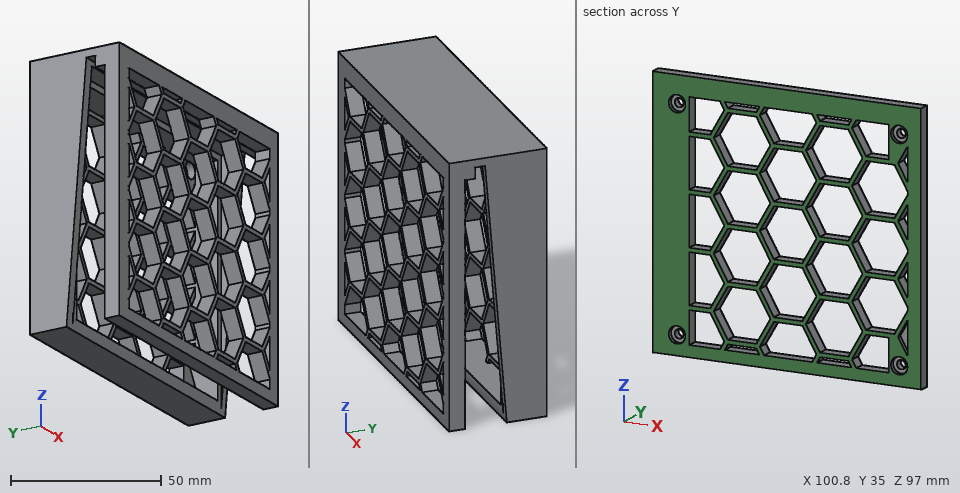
import cadquery as cq
import math

WIDTH = 100.8
DEPTH = 35.0
HEIGHT = 97.0
PANEL = 5.7
BACK_Y = DEPTH - PANEL

SLIT_TOP = HEIGHT - 2.9
LIP_BOTTOM = HEIGHT - 7.0
LIP_BACK = 9.4
SLOPE_TOP_Y = 12.9
SLOPE_BOTTOM_Y = 20.7

WINDOW_LEFT = 6.1
WINDOW_RIGHT = WIDTH - 5.2
WINDOW_BOTTOM = 4.4
WINDOW_TOP = HEIGHT - 7.3

SEAT_MARGIN = 2.4
SEAT_Y = 20.5

PITCH = 20.0
RIB = 1.7
COS_30 = math.cos(math.radians(30))
COLUMN_STEP = PITCH * COS_30
CELL_ACROSS_CORNERS = (PITCH - RIB) / COS_30
MIDDLE_X = (WINDOW_LEFT + WINDOW_RIGHT) / 2
MIDDLE_Z = (WINDOW_BOTTOM + WINDOW_TOP) / 2
EDGE_COLUMN = 3
ALL_COLUMNS = range(-EDGE_COLUMN, EDGE_COLUMN + 1)
FULL_COLUMNS = range(1 - EDGE_COLUMN, EDGE_COLUMN)
ALL_ROWS = range(-3, 4)
LOWEST_TRIANGLE = -2
THROUGH_TRIANGLES = range(LOWEST_TRIANGLE + 1, 2)

STRIP_WIDTH = 7.7
PAD_WIDTH = 7.1
PAD_RIB_OFFSET = 1.5 * PITCH
PAD_HEIGHT = (WINDOW_TOP - WINDOW_BOTTOM) / 2 - PAD_RIB_OFFSET
BLIND_DEPTH = 2.9

SCREW_DIAMETER = 3.2
BORE_DIAMETER = 6.0
SCREW_INSET_X = 3.0
SCREW_INSET_Z = 2.8


def block(x_range, y_range, z_range):
    """Box that spans the given ranges."""
    (x0, x1), (y0, y1), (z0, z1) = x_range, y_range, z_range
    return cq.Workplane("XY").box(x1 - x0, y1 - y0, z1 - z0, centered=False).translate((x0, y0, z0))


def window(y0, y1, margin=0):
    """Box over the window's area, widened by the margin on all four edges."""
    x_range = (WINDOW_LEFT - margin, WINDOW_RIGHT + margin)
    z_range = (WINDOW_BOTTOM - margin, WINDOW_TOP + margin)
    return block(x_range, (y0, y1), z_range)


def cell_centre(column, row):
    """Centre of a cell; odd columns sit half a pitch higher."""
    shift = PITCH / 2 if column % 2 else 0
    return MIDDLE_X + column * COLUMN_STEP, MIDDLE_Z + shift + row * PITCH


def along_y(points, y0):
    """Sketch plane at y0 whose extrusions by a negative length run towards +Y."""
    return cq.Workplane("XZ", origin=(0, y0, 0)).pushPoints(points)


def honeycomb(columns, rows, y0, y1):
    """Hexagonal openings of the given columns and rows, bounded by the window."""
    centres = [cell_centre(column, row) for column in columns for row in rows]
    openings = along_y(centres, y0).polygon(6, CELL_ACROSS_CORNERS).extrude(y0 - y1)
    return openings.intersect(window(y0, y1))


def screw_holes(diameter, y0, y1):
    centres = [
        (x, z)
        for x in (WINDOW_LEFT + SCREW_INSET_X, WINDOW_RIGHT - SCREW_INSET_X)
        for z in (WINDOW_BOTTOM + SCREW_INSET_Z, WINDOW_TOP - SCREW_INSET_Z)
    ]
    return along_y(centres, y0).circle(diameter / 2).extrude(y0 - y1)


def corner_squares(y0, y1):
    """Boxes that open the window's corners squarely, from each corner to the screw axis."""
    middle_x = (WINDOW_LEFT + SCREW_INSET_X, WINDOW_RIGHT - SCREW_INSET_X)
    middle_z = (WINDOW_BOTTOM + SCREW_INSET_Z, WINDOW_TOP - SCREW_INSET_Z)
    side_bars = window(y0, y1).cut(block(middle_x, (y0, y1), (0, HEIGHT)))
    return side_bars.cut(block((0, WIDTH), (y0, y1), middle_z))


def wedge_slit():
    outline = [
        (PANEL, 0),
        (PANEL, LIP_BOTTOM),
        (LIP_BACK, LIP_BOTTOM),
        (LIP_BACK, SLIT_TOP),
        (SLOPE_TOP_Y, SLIT_TOP),
        (SLOPE_BOTTOM_Y, 0),
    ]
    return cq.Workplane("YZ").polyline(outline).close().extrude(WIDTH)


def back_openings():
    """Openings of the back panel: honeycomb less the solid areas, plus the right-hand triangles."""
    thickness = (BACK_Y, DEPTH)
    strip = block((WINDOW_LEFT, WINDOW_LEFT + STRIP_WIDTH), thickness, (0, HEIGHT))
    pad_x = (WINDOW_RIGHT - PAD_WIDTH, WINDOW_RIGHT)
    bottom_pad = block(pad_x, thickness, (0, WINDOW_BOTTOM + PAD_HEIGHT))
    top_pad = block(pad_x, thickness, (WINDOW_TOP - PAD_HEIGHT, HEIGHT))

    openings = honeycomb(FULL_COLUMNS, ALL_ROWS, *thickness)
    openings = openings.cut(strip).cut(bottom_pad).cut(top_pad)
    openings = openings.union(honeycomb([EDGE_COLUMN], THROUGH_TRIANGLES, *thickness))
    return openings.union(honeycomb([EDGE_COLUMN], [LOWEST_TRIANGLE], BACK_Y, BACK_Y + BLIND_DEPTH))


result = block((0, WIDTH), (0, DEPTH), (0, HEIGHT)).cut(wedge_slit())
result = result.cut(window(SLOPE_TOP_Y, SEAT_Y, SEAT_MARGIN))
result = result.cut(window(PANEL, BACK_Y))

result = result.cut(honeycomb(ALL_COLUMNS, ALL_ROWS, 0, PANEL))
result = result.cut(back_openings())

result = result.cut(corner_squares(0, PANEL))
result = result.cut(screw_holes(BORE_DIAMETER, BACK_Y, BACK_Y + BLIND_DEPTH))
result = result.cut(screw_holes(SCREW_DIAMETER, BACK_Y, DEPTH))